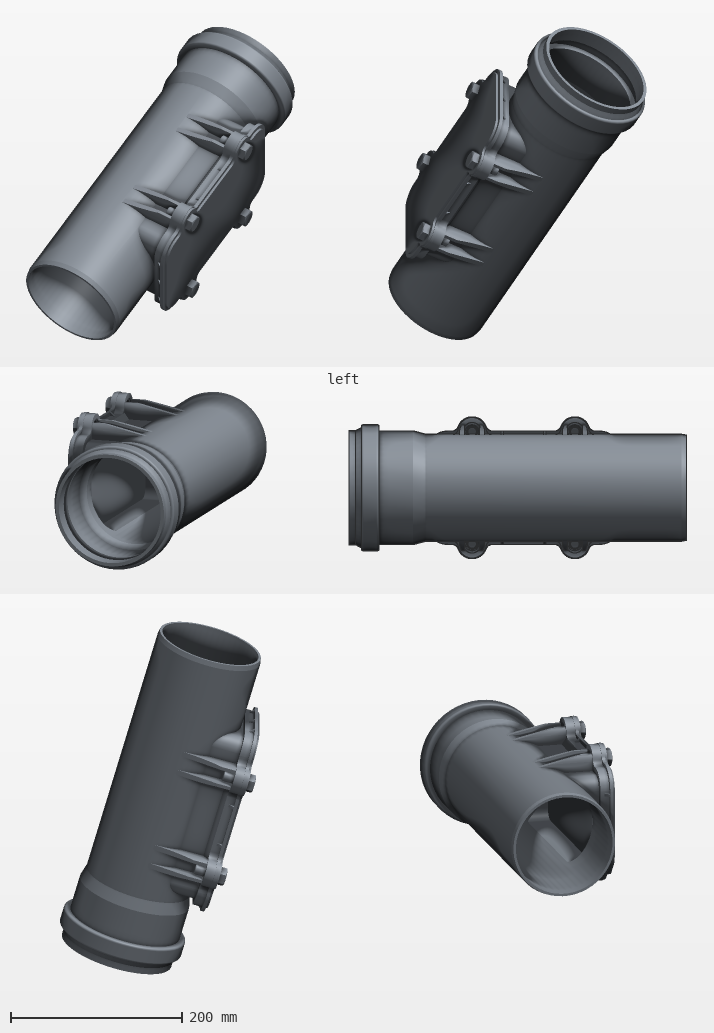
import cadquery as cq
import math


length = 395
bore_dia = 117.0
pipe_dia = 125.2
spigot_chamfer_length = 6.0
spigot_chamfer_depth = 1.0
taper_start = 305.0
taper_end = 319.5
socket_dia = 133.0
socket_bore_dia = 125.2
mouth_dia = 133.5
mouth_bore_dia = 125.5
bead_dia = 147.7
bead_start = 359.5
bead_end = 380.5
bead_fillet = 2.8
shoulder_dia = 140.2
mouth_start = 387
groove_dia = 140.2
groove_start = 363.5
groove_end = 377.0

port_y = 190.8
neck_half_length = 104.0
neck_half_height = 54.0
neck_corner = 16.0
neck_wall = 4.5

flange_back = 65.0
lip_back = 76.0
joint_face = 78.2
cover_lip_front = 79.8
cover_front = 82.5
plug_end = 57.5
lip_half_length = 115.5
lip_half_height = 66.5
lip_corner = 27.3
lip_lug_radius = 17.5
lip_overhang = 4.7
wall_lug_radius = 16.5
lug_blend = 8

gusset_width = 3.0
gusset_start = 70.5
end_gusset_z = 34.5
side_gusset_y = 25.0

bolt_spacing = 120.0
bolt_z = 65.5
bolt_dia = 12
bolt_tip = 53.5
bolt_tip_chamfer = 0.8
bolt_hole_dia = 13.0
countersink_dia = 16.0
recess_dia = 21.5
recess_depth = 1.0
head_flats = 19.5
head_front = 91
head_chamfer_dia = 17.5
head_chamfer_height = 1.0

rib_outer_radius = 14.5
rib_slot_width = 17.5
rib_top_z = 73.0
rib_slope_end = 48.0

wedge_start = 59.5

lug_y = bolt_spacing / 2
bolt_places = [(port_y + sy * lug_y, sz * bolt_z) for sy in (-1, 1) for sz in (-1, 1)]


def block(x_start, x_end, half_length, half_height, corner):
    """Rounded rectangular block centred on the port and extruded along X."""
    size = (x_end - x_start, 2 * half_length, 2 * half_height)
    solid = cq.Workplane("XY").box(*size).edges("|X").fillet(corner)
    return solid.translate(((x_start + x_end) / 2, port_y, 0))


def rod(x_start, x_end, dia, y, z):
    """Cylinder along X."""
    return cq.Workplane("YZ", origin=(x_start, y, z)).circle(dia / 2).extrude(x_end - x_start)


def flange_layer(x_start, x_end, inset, lug_radius):
    """Rounded rectangular plate with four bolt lugs that blend into its long sides."""
    half_height = lip_half_height - inset
    plate = block(x_start, x_end, lip_half_length - inset, half_height, lip_corner - inset)
    for y, z in bolt_places:
        plate = plate.union(rod(x_start, x_end, 2 * lug_radius, y, z))

    def is_inner_corner(edge):
        centre = edge.Center()
        on_side = abs(abs(centre.z) - half_height) < 0.05
        from_lug = abs(abs(centre.y - port_y) - lug_y)
        return on_side and from_lug < lug_radius + 0.05

    return plate.edges("|X").filter(is_inner_corner).fillet(lug_blend)


def make_pipe_shell():
    """Outside of the pipe, socket and sealing bead, as a solid of revolution."""
    outline = [
        (0, 0),
        (pipe_dia / 2 - spigot_chamfer_depth, 0),
        (pipe_dia / 2, spigot_chamfer_length),
        (pipe_dia / 2, taper_start),
        (socket_dia / 2, taper_end),
        (socket_dia / 2, bead_start),
        (bead_dia / 2, bead_start),
        (bead_dia / 2, bead_end),
        (shoulder_dia / 2, bead_end),
        (mouth_dia / 2, mouth_start),
        (mouth_dia / 2, length),
        (0, length),
    ]
    shell = cq.Workplane("XY").polyline(outline).close().revolve(360, (0, 0), (0, 1))
    bead_rims = shell.edges("%CIRCLE").filter(lambda e: abs(e.radius() - bead_dia / 2) < 0.05)
    return bead_rims.fillet(bead_fillet)


def make_bore():
    """Inside of the pipe, with the wider socket and the groove for the seal."""
    outline = [
        (0, 0),
        (bore_dia / 2, 0),
        (bore_dia / 2, taper_start),
        (socket_bore_dia / 2, taper_end),
        (socket_bore_dia / 2, groove_start),
        (groove_dia / 2, groove_start),
        (groove_dia / 2, groove_end),
        (mouth_bore_dia / 2, groove_end),
        (mouth_bore_dia / 2, length),
        (0, length),
    ]
    return cq.Workplane("XY").polyline(outline).close().revolve(360, (0, 0), (0, 1))


def make_rib_pair(y, side):
    """Two ribs beside a bolt, rounded about its axis; side is +1 above the pipe, -1 below."""
    tube = rod(0, flange_back, 2 * rib_outer_radius, y, side * bolt_z)
    legs = cq.Workplane("XY").box(
        flange_back, 2 * rib_outer_radius, bolt_z, centered=(False, True, False)
    )
    if side < 0:
        legs = legs.mirror("XY")
    side_outline = [
        (0, 0),
        (0, side * pipe_dia / 2),
        (rib_slope_end, side * rib_top_z),
        (flange_back, side * rib_top_z),
        (flange_back, 0),
    ]
    profile = cq.Workplane("XZ", origin=(0, y, 0)).polyline(side_outline).close()
    envelope = profile.extrude(rib_outer_radius, both=True)
    slot = cq.Workplane("XY").box(flange_back, rib_slot_width, 2 * rib_top_z, centered=(False, True, True))
    ribs = tube.union(legs.translate((0, y, 0))).intersect(envelope)
    return ribs.cut(slot.translate((0, y, 0)))


def make_wedge(side):
    """Sloping stiffener between the two inner ribs on one side of the neck."""
    outline = [
        (wedge_start, side * neck_half_height),
        (flange_back, side * neck_half_height),
        (flange_back, side * (lip_half_height - lip_overhang)),
    ]
    profile = cq.Workplane("XZ", origin=(0, port_y, 0)).polyline(outline).close()
    return profile.extrude(lug_y - rib_outer_radius, both=True)


def make_gusset():
    """Triangular gusset under the lip, rising toward +Y as it nears the lip."""
    outline = [(gusset_start, 0), (lip_back, 0), (lip_back, lip_overhang)]
    return cq.Workplane("XY").polyline(outline).close().extrude(gusset_width / 2, both=True)


def make_gussets():
    """All gussets around the flange: three at each end and two on each long side."""
    wall_half_length = lip_half_length - lip_overhang
    wall_half_height = lip_half_height - lip_overhang
    gussets = cq.Workplane("XY")
    for turn in (0, 180):
        for z in (-end_gusset_z, 0, end_gusset_z):
            end = make_gusset().translate((0, wall_half_length, z))
            gussets = gussets.add(end.rotate((0, 0, 0), (1, 0, 0), turn).translate((0, port_y, 0)))
        for y in (-side_gusset_y, side_gusset_y):
            side = make_gusset().rotate((0, 0, 0), (1, 0, 0), 90).translate((0, y, wall_half_height))
            gussets = gussets.add(side.rotate((0, 0, 0), (1, 0, 0), turn).translate((0, port_y, 0)))
    return gussets


def make_opening(x_start):
    """Inside of the neck from x_start to the joint face."""
    return block(
        x_start,
        joint_face,
        neck_half_length - neck_wall,
        neck_half_height - neck_wall,
        neck_corner - neck_wall,
    )


def make_bolt_hole(y, z):
    """Countersunk clearance hole through the flange, with a shallow recess at its back."""
    recess_floor = flange_back + recess_depth
    countersink_depth = (countersink_dia - bolt_hole_dia) / 2
    profile = [
        (flange_back, 0),
        (flange_back, recess_dia / 2),
        (recess_floor, recess_dia / 2),
        (recess_floor, countersink_dia / 2),
        (recess_floor + countersink_depth, bolt_hole_dia / 2),
        (joint_face, bolt_hole_dia / 2),
        (joint_face, 0),
    ]
    hole = cq.Workplane("XY").polyline(profile).close().revolve(360, (0, 0), (1, 0))
    return hole.translate((0, y, z))


def make_body():
    """Pipe with the inspection port, its flange and its ribs."""
    body = make_pipe_shell()
    body = body.union(block(0, flange_back, neck_half_length, neck_half_height, neck_corner))
    body = body.union(flange_layer(flange_back, lip_back, lip_overhang, wall_lug_radius))
    body = body.union(flange_layer(lip_back, joint_face, 0, lip_lug_radius))
    for side in (-1, 1):
        body = body.union(make_wedge(side))
        for y in (port_y - lug_y, port_y + lug_y):
            body = body.union(make_rib_pair(y, side))
    for gusset in make_gussets().vals():
        body = body.union(cq.Workplane(gusset))
    body = body.cut(make_bore()).cut(make_opening(0))
    for y, z in bolt_places:
        body = body.cut(make_bolt_hole(y, z))
    return body


def make_cover():
    """Cover plate with a plug that fills the neck."""
    cover = flange_layer(joint_face, cover_lip_front, 0, lip_lug_radius)
    cover = cover.union(flange_layer(cover_lip_front, cover_front, lip_overhang, wall_lug_radius))
    cover = cover.union(make_opening(plug_end))
    for y, z in bolt_places:
        cover = cover.cut(rod(joint_face, cover_front, bolt_hole_dia, y, z))
    return cover


def make_bolt(y, z):
    """Hexagon bolt along X with its head on the cover."""
    head_corners_dia = head_flats / math.cos(math.pi / 6)
    head = cq.Workplane("YZ", origin=(cover_front, y, z)).polygon(6, head_corners_dia)
    head = head.extrude(head_front - cover_front)
    cone_start = head_front - head_chamfer_height
    cone_end = cq.Workplane("YZ", origin=(cone_start, y, z)).circle(head_corners_dia / 2)
    cone_end = cone_end.workplane(offset=head_chamfer_height).circle(head_chamfer_dia / 2).loft()
    head = head.intersect(rod(cover_front, cone_start, head_corners_dia, y, z).union(cone_end))
    shank = rod(bolt_tip, cover_front, bolt_dia, y, z).faces("<X").chamfer(bolt_tip_chamfer)
    return head.union(shank)


body = make_body()
cover = make_cover()
bolts = [make_bolt(y, z) for y, z in bolt_places]

result = cq.Compound.makeCompound([body.val(), cover.val(), *[bolt.val() for bolt in bolts]])